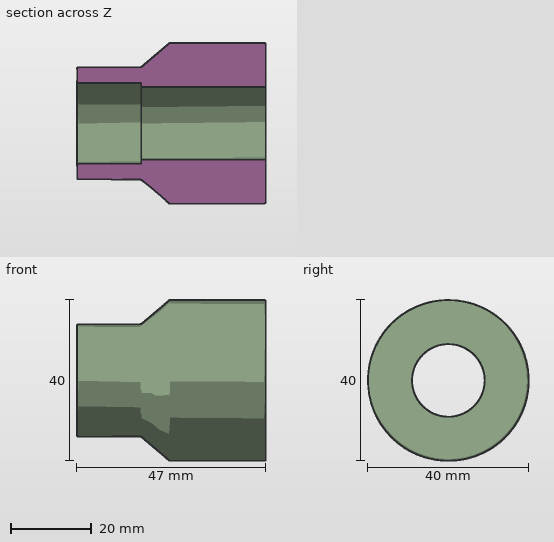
import cadquery as cq

length = 47.0
large_diameter = 40.0
small_diameter = 28.0
bore_diameter = 18.0
socket_diameter = 20.0
small_length = 16.0
cone_end = 23.05
socket_depth = small_length
edge_radius = 0.45
shoulder_radius = 0.45

small_end = -length / 2
large_end = length / 2
small_radius = small_diameter / 2
large_radius = large_diameter / 2


def outer_body():
    """Small cylinder, cone and large cylinder as one revolved solid."""
    profile = (
        cq.Workplane("XY")
        .moveTo(small_end, 0)
        .lineTo(small_end, small_radius)
        .lineTo(small_end + small_length, small_radius)
        .lineTo(small_end + cone_end, large_radius)
        .lineTo(large_end, large_radius)
        .lineTo(large_end, 0)
        .close()
    )
    body = profile.revolve(360, (0, 0, 0), (1, 0, 0))
    body = body.faces("<X or >X").edges().fillet(edge_radius)
    cone_edges = body.faces("%CONE").edges("%CIRCLE")
    return cone_edges.fillet(shoulder_radius)


def bored(body):
    """Cut the through bore and the wider socket in the small end."""
    end_face = cq.Workplane("YZ", origin=(small_end, 0, 0))
    bore = end_face.circle(bore_diameter / 2).extrude(length)
    socket = end_face.circle(socket_diameter / 2).extrude(socket_depth)
    body = body.cut(bore).cut(socket)
    mouth = body.faces("<X").edges(cq.selectors.RadiusNthSelector(0))
    return mouth.fillet(edge_radius)


result = bored(outer_body())